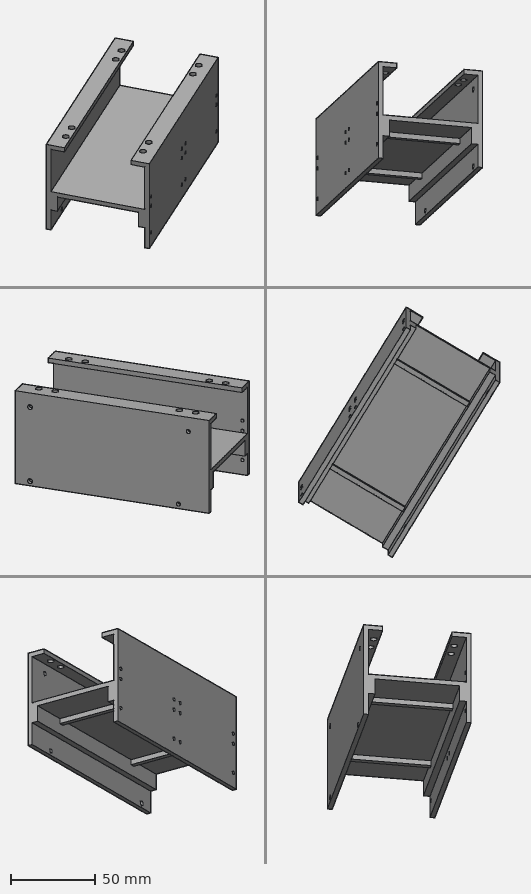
import cadquery as cq

width = 65.0
length = 124.0
height = 60.0
sheet = 3.0

floor_top = 27.2
floor_bottom = floor_top - sheet
rail_width = 4.0
rail_height = 10.0
crossbar_width = 3.0
crossbar_height = 3.2
crossbar_y = 37.2

lip_reach = 11.5
lip_hole_diameter = 4.0
lip_hole_x = 24.3
lip_hole_ys = (39.7, 50.1)

left_wall_holes = (
    (52.6, 50.8, 3.0),
    (52.6, 3.0, 3.0),
    (-48.6, 50.8, 2.5),
    (-42.3, 3.0, 2.5),
)

right_hole_diameter = 2.0
right_hole_ys = (3.2, 58.8)
right_hole_zs = (9.5, 28.4, 35.0)

inner_half_width = width / 2 - sheet


def box(x_min, x_size, y_size, z_min, z_size, y_center=0):
    """Block placed by its lowest X and Z and its middle Y."""
    block = cq.Workplane("XY").box(x_size, y_size, z_size, centered=(False, True, False))
    return block.translate((x_min, y_center, z_min))


def wall_hole(x_min, y, z, diameter):
    """Cutter through a side wall whose lowest X is x_min."""
    return cq.Workplane("YZ", origin=(x_min, y, z)).circle(diameter / 2).extrude(sheet)


def left_side():
    """Left wall with its lip and support rail."""
    wall = box(-width / 2, sheet, length, 0, height)
    lip = box(-width / 2, lip_reach, length, height - sheet, sheet)
    rail = box(-inner_half_width, rail_width, length, floor_bottom - rail_height, rail_height)
    return wall.union(lip).union(rail)


result = left_side().union(left_side().mirror("YZ"))
result = result.union(box(-width / 2, width, length, floor_bottom, sheet))

for y in (-crossbar_y, crossbar_y):
    crossbar = box(-width / 2, width, crossbar_width, floor_bottom - crossbar_height, crossbar_height, y)
    result = result.union(crossbar)

lip_hole_points = [
    (side * lip_hole_x, end * y)
    for side in (-1, 1)
    for end in (-1, 1)
    for y in lip_hole_ys
]
lip_holes = (
    cq.Workplane("XY", origin=(0, 0, height - sheet))
    .pushPoints(lip_hole_points)
    .circle(lip_hole_diameter / 2)
    .extrude(sheet)
)
result = result.cut(lip_holes)

for y, z, diameter in left_wall_holes:
    result = result.cut(wall_hole(-width / 2, y, z, diameter))

for z in right_hole_zs:
    for y in right_hole_ys:
        for end in (-1, 1):
            result = result.cut(wall_hole(inner_half_width, end * y, z, right_hole_diameter))